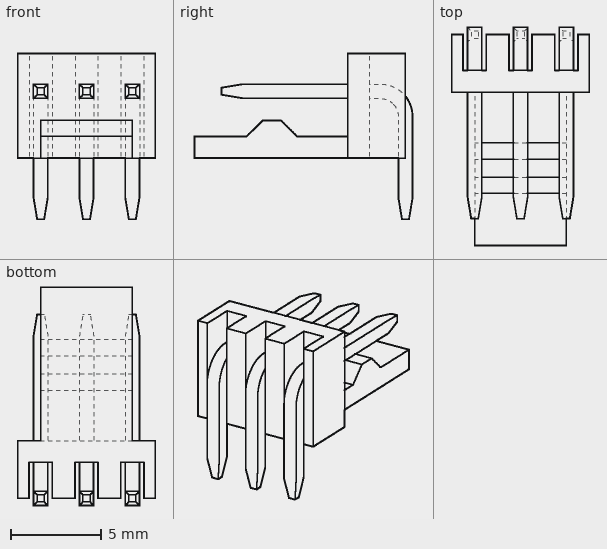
import cadquery as cq
import math


pin_count = 3
pitch = 2.54

housing_width = pin_count * pitch
housing_depth = 3.21
housing_height = 5.8

slot_width = pitch / 2
slot_depth = 2.0

tongue_width = (pin_count - 1) * pitch
tongue_length = 8.5
tongue_thickness = 1.2

ramp_height = 0.9
ramp_inner_foot = 2.8
ramp_inner_crest = 3.7
ramp_outer_crest = 4.7
ramp_outer_foot = 5.6

pin_size = 0.8
pin_tip_size = pin_size / 2
pin_taper_length = 1.2
pin_axis_height = 3.7
pin_mating_length = 6.99
pin_tail_length = 3.4
pin_back_overhang = 0.4
bend_outer_radius = 1.8
bend_inner_radius = bend_outer_radius - pin_size

pin_xs = [(i - (pin_count - 1) / 2) * pitch for i in range(pin_count)]


def make_housing():
    """Block with one full-height slot behind each pin."""
    housing = cq.Workplane("XY").box(
        housing_width, housing_depth, housing_height, centered=(True, False, False)
    )
    for x in pin_xs:
        slot = (
            cq.Workplane("XY")
            .box(slot_width, slot_depth, housing_height, centered=(True, False, False))
            .translate((x, housing_depth - slot_depth, 0))
        )
        housing = housing.cut(slot)
    return housing


def make_tongue():
    """Flat tongue with a trapezoidal locking ramp, extruded across its width."""
    ramp_top = tongue_thickness + ramp_height
    return (
        cq.Workplane("YZ")
        .polyline([
            (0, 0),
            (-tongue_length, 0),
            (-tongue_length, tongue_thickness),
            (-ramp_outer_foot, tongue_thickness),
            (-ramp_outer_crest, ramp_top),
            (-ramp_inner_crest, ramp_top),
            (-ramp_inner_foot, tongue_thickness),
            (0, tongue_thickness),
        ])
        .close()
        .extrude(tongue_width / 2, both=True)
    )


def make_taper(base_center, direction):
    """Square pin point that narrows from base_center along direction."""
    base = cq.Plane(origin=base_center, xDir=(1, 0, 0), normal=direction)
    return (
        cq.Workplane(base)
        .rect(pin_size, pin_size)
        .workplane(offset=pin_taper_length)
        .rect(pin_tip_size, pin_tip_size)
        .loft(ruled=True)
    )


def make_pin():
    """Square pin, straight on the mating side, then bent down into a solder tail."""
    top = pin_axis_height + pin_size / 2
    bottom = pin_axis_height - pin_size / 2
    back = housing_depth + pin_back_overhang
    tail_front = back - pin_size
    mating_shoulder = pin_taper_length - pin_mating_length
    tail_shoulder = pin_taper_length - pin_tail_length

    bend_y = back - bend_outer_radius
    bend_z = top - bend_outer_radius
    outer_mid = bend_outer_radius * math.sqrt(0.5)
    inner_mid = bend_inner_radius * math.sqrt(0.5)

    shank = (
        cq.Workplane("YZ")
        .moveTo(mating_shoulder, top)
        .lineTo(bend_y, top)
        .threePointArc((bend_y + outer_mid, bend_z + outer_mid), (back, bend_z))
        .lineTo(back, tail_shoulder)
        .lineTo(tail_front, tail_shoulder)
        .lineTo(tail_front, bend_z)
        .threePointArc((bend_y + inner_mid, bend_z + inner_mid), (bend_y, bottom))
        .lineTo(mating_shoulder, bottom)
        .close()
        .extrude(pin_size / 2, both=True)
    )
    mating_point = make_taper((0, mating_shoulder, pin_axis_height), (0, -1, 0))
    tail_point = make_taper((0, back - pin_size / 2, tail_shoulder), (0, 0, -1))
    return shank.union(mating_point).union(tail_point)


result = make_housing().union(make_tongue())
pin = make_pin()
for x in pin_xs:
    result = result.union(pin.translate((x, 0, 0)))